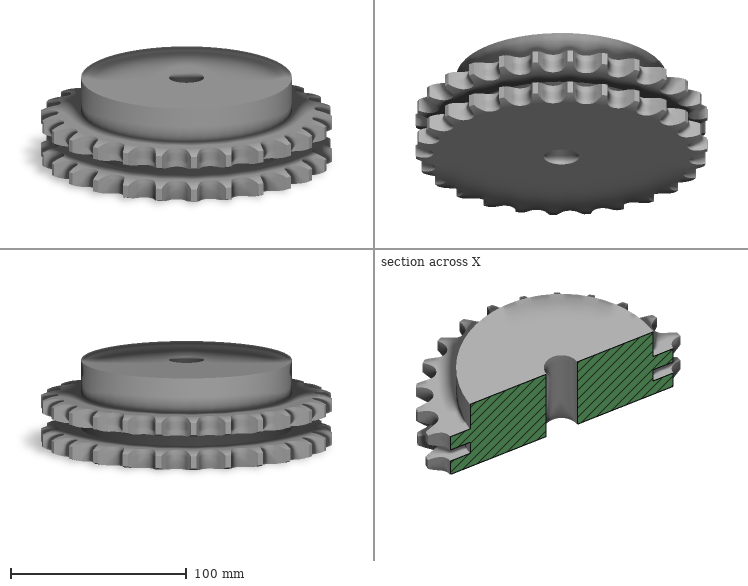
import cadquery as cq
import math


tooth_count = 26
tip_radius = 83.0
chain_pitch = 19.05
tip_half_width = 1.7
seat_radius = 6.1
seat_half_angle = 60.0

plate_width = 11.0
plate_spacing = 19.4
plate_count = 2
bevel_depth = 2.0
bevel_start_radius = 74.2

hub_diameter = 120.0
bore_diameter = 20.0
total_height = 50.0

pitch_angle = 360.0 / tooth_count
pitch_radius = chain_pitch / (2 * math.sin(math.radians(pitch_angle / 2)))
tip_half_angle = math.degrees(math.asin(tip_half_width / tip_radius))

bevel_reach = tip_radius - bevel_start_radius
bevel_radius = (bevel_reach**2 + bevel_depth**2) / (2 * bevel_depth)


def polar(radius, angle):
    """Point at a radius and an angle in degrees."""
    return radius * math.cos(math.radians(angle)), radius * math.sin(math.radians(angle))


def seat_point(gap_angle, turn):
    """Point on a roller seat, turned in degrees from the bottom of the gap."""
    centre_x, centre_y = polar(pitch_radius, gap_angle)
    offset_x, offset_y = polar(seat_radius, gap_angle + 180 + turn)
    return centre_x + offset_x, centre_y + offset_y


def flank_middle(gap_angle, side):
    """Middle of the hollow flank arc, which leaves the seat tangentially and ends at the tooth tip.

    The side is -1 for the flank before the gap and 1 for the flank after it.
    """
    turn = -side * seat_half_angle
    start_x, start_y = seat_point(gap_angle, turn)
    tip_x, tip_y = polar(tip_radius, gap_angle + side * (pitch_angle / 2 - tip_half_angle))
    chord_x, chord_y = tip_x - start_x, tip_y - start_y
    heading = math.radians(gap_angle + side * (90 - seat_half_angle))
    cross = math.cos(heading) * chord_y - math.sin(heading) * chord_x
    dot = math.cos(heading) * chord_x + math.sin(heading) * chord_y
    half_sagitta_ratio = math.tan(math.atan2(cross, dot) / 2) / 2
    return (
        (start_x + tip_x) / 2 + chord_y * half_sagitta_ratio,
        (start_y + tip_y) / 2 - chord_x * half_sagitta_ratio,
    )


def toothed_blank():
    """Square-edged plate with the full tooth outline."""
    outline = cq.Workplane("XY").moveTo(*polar(tip_radius, -tip_half_angle))
    for tooth in range(tooth_count):
        tooth_angle = tooth * pitch_angle
        gap_angle = tooth_angle + pitch_angle / 2
        next_tip = polar(tip_radius, tooth_angle + pitch_angle - tip_half_angle)
        outline = (
            outline
            .threePointArc(polar(tip_radius, tooth_angle), polar(tip_radius, tooth_angle + tip_half_angle))
            .threePointArc(flank_middle(gap_angle, -1), seat_point(gap_angle, seat_half_angle))
            .threePointArc(seat_point(gap_angle, 0), seat_point(gap_angle, -seat_half_angle))
            .threePointArc(flank_middle(gap_angle, 1), next_tip)
        )
    return outline.close().extrude(plate_width)


def bevelled_disc():
    """Disc with both rims rounded off, used to shape the sides of the teeth."""
    half_sweep = math.asin(bevel_reach / bevel_radius) / 2
    mid_radius = bevel_start_radius + bevel_radius * math.sin(half_sweep)
    mid_drop = bevel_radius * (1 - math.cos(half_sweep))
    return (
        cq.Workplane("XZ")
        .lineTo(bevel_start_radius, 0)
        .threePointArc((mid_radius, mid_drop), (tip_radius, bevel_depth))
        .lineTo(tip_radius, plate_width - bevel_depth)
        .threePointArc((mid_radius, plate_width - mid_drop), (bevel_start_radius, plate_width))
        .lineTo(0, plate_width)
        .close()
        .revolve(360, (0, 0, 0), (0, 1, 0))
    )


toothed_plate = toothed_blank().intersect(bevelled_disc())

result = cq.Workplane("XY").circle(hub_diameter / 2).extrude(total_height)
for plate in range(plate_count):
    result = result.union(toothed_plate.translate((0, 0, plate * plate_spacing)))

bore = cq.Workplane("XY").circle(bore_diameter / 2).extrude(total_height)
result = result.cut(bore)